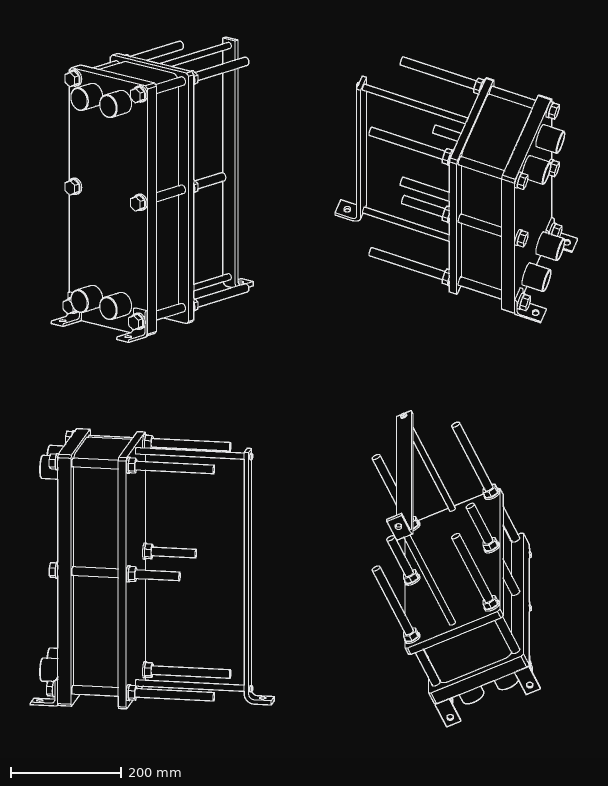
import cadquery as cq
import math


end_plate_width = 190.0
end_plate_height = 473.0
end_plate_chamfer = 5.0
frame_thickness = 25.0
pack_depth = 87.0
pressure_thickness = 14.5
pack_front = frame_thickness
pack_back = pack_front + pack_depth
pressure_back = pack_back + pressure_thickness

channel_count = 6
channel_pitch = pack_depth / channel_count
pack_width = 142.0
pack_bottom = 16.5
pack_height = 450.5
pack_corner_radius = 15.0

nameplate_width = 65.7
nameplate_height = 124.5
nameplate_bottom = 239.0
nameplate_depth = 2.5

nozzle_diameter = 42.5
nozzle_length = 40.5
nozzle_end_chamfer = 1.5
nozzle_half_spacing = 35.0
nozzle_heights = (51.0, 432.5)

foot_width = 29.0
foot_thickness = 5.0
foot_height = 49.0
foot_reach = 50.5
foot_bend_radius = 7.0
foot_edge_radius = 3.0
foot_hole_setback = 15.0
floor_hole_diameter = 12.0

overall_depth = 430.0
column_width = 30.0
column_thickness = 8.5
column_front = 329.0
column_back = column_front + column_thickness
column_bend_radius = 10.5
column_foot_end = overall_depth - foot_reach
column_hole_setback = 18.5

guide_bar_diameter = 12.0
guide_bar_heights = (25.0, 461.5)
guide_bar_end = column_back + 4.3
guide_bar_chamfer = 2.0

bolt_diameter = 16.0
washer_diameter = 30.0
front_washer_thickness = 4.5
rear_washer_thickness = 3.5
hex_across_flats = 24.0
hex_across_corners = hex_across_flats / math.cos(math.pi / 6)
hex_thickness = 11.5
long_bolt_end = 285.5
short_bolt_end = 222.5
bolt_half_spacing = 79.5
bolt_rows = (
    (28.5, -foot_thickness, long_bolt_end),
    (251.5, 0, short_bolt_end),
    (456.0, 0, long_bolt_end),
)
sides = (-1, 1)


def block(width, depth, height, y_front, z_bottom):
    """Box centred on X = 0."""
    box = cq.Workplane("XY").box(width, depth, height, centered=(True, False, False))
    return box.translate((0, y_front, z_bottom))


def round_bar(diameter, x, z, y_front, y_back):
    """Cylinder along Y."""
    start = cq.Workplane("XZ", origin=(x, y_front, z))
    return start.circle(diameter / 2).extrude(y_front - y_back)


def hexagon(x, z, y_front, y_back):
    """Hexagonal prism along Y with corners at its top and bottom."""
    start = cq.Workplane("XZ", origin=(x, y_front, z)).transformed(rotate=(0, 0, 90))
    return start.polygon(6, hex_across_corners).extrude(y_front - y_back)


def edge_at(body, x, y, z):
    """Edge of the body whose middle is nearest to the point."""
    return body.edges(cq.selectors.NearestToPointSelector((x, y, z)))


def bent_bar(x, width, thickness, height, y_leg, y_bend, y_toe):
    """Upright leg with a toe on the floor; y_leg is the leg's face that looks away from the toe."""
    outline = [
        (y_leg, 0),
        (y_leg, height),
        (y_bend, height),
        (y_bend, thickness),
        (y_toe, thickness),
        (y_toe, 0),
    ]
    start = cq.Workplane("YZ", origin=(x - width / 2, 0, 0))
    return start.polyline(outline).close().extrude(width)


def floor_hole(x, y, thickness):
    """Cutter for an upright hole through a toe."""
    return cq.Workplane("XY", origin=(x, y, 0)).circle(floor_hole_diameter / 2).extrude(thickness)


def make_end_plate(y_front, thickness):
    plate = block(end_plate_width, thickness, end_plate_height, y_front, 0)
    return plate.edges("|Y").chamfer(end_plate_chamfer)


def make_nozzle(x, z):
    nozzle = round_bar(nozzle_diameter, x, z, -nozzle_length, 0)
    return nozzle.faces("<Y").chamfer(nozzle_end_chamfer)


def make_foot(x):
    foot = bent_bar(x, foot_width, foot_thickness, foot_height, 0, -foot_thickness, -foot_reach)
    foot = edge_at(foot, x, -foot_thickness, foot_thickness).fillet(foot_bend_radius)
    foot = edge_at(foot, x, 0, 0).fillet(foot_edge_radius)
    foot = edge_at(foot, x, -foot_thickness, foot_height).fillet(foot_edge_radius)
    foot = edge_at(foot, x, -foot_reach, foot_thickness).fillet(foot_edge_radius)
    return foot.cut(floor_hole(x, foot_hole_setback - foot_reach, foot_thickness))


def make_bolt_rod(side, z, seat, end):
    return round_bar(bolt_diameter, side * bolt_half_spacing, z, seat, end)


def drill_for_bolts(body):
    """Cut the holes that the bolt rods fill, keeping the seams of the body."""
    for side in sides:
        for row in bolt_rows:
            body = body.cut(make_bolt_rod(side, *row), clean=False)
    return body


def make_frame():
    """Frame plate with its nozzles, feet and nameplate field."""
    frame = make_end_plate(0, frame_thickness)
    for side in sides:
        for z in nozzle_heights:
            frame = frame.union(make_nozzle(side * nozzle_half_spacing, z))
        frame = frame.union(make_foot(side * bolt_half_spacing))
    nameplate = block(nameplate_width, nameplate_depth, nameplate_height, 0, nameplate_bottom)
    frame = frame.cut(nameplate).union(nameplate, clean=False)
    return drill_for_bolts(frame)


def make_pack():
    """Channel plates joined into one pack, with the seams between them left on its sides."""
    channel = block(pack_width, channel_pitch, pack_height, pack_front, pack_bottom)
    channel = channel.edges("|Y").fillet(pack_corner_radius)
    pack = channel
    for index in range(1, channel_count):
        pack = pack.union(channel.translate((0, index * channel_pitch, 0)), clean=False)
    return pack


def make_column():
    column = bent_bar(
        0, column_width, column_thickness, end_plate_height, column_front, column_back, column_foot_end
    )
    column = edge_at(column, 0, column_back, column_thickness).fillet(column_bend_radius)
    column = edge_at(column, 0, column_front, 0).fillet(column_bend_radius + column_thickness)
    return column.cut(floor_hole(0, column_foot_end - column_hole_setback, column_thickness))


def make_pressure_plate():
    """Pressure plate carrying the guide bars and the rear support column."""
    plate = make_end_plate(pack_back, pressure_thickness).union(make_column())
    for z in guide_bar_heights:
        bar = round_bar(guide_bar_diameter, 0, z, pressure_back, guide_bar_end)
        plate = plate.union(bar.faces(">Y").chamfer(guide_bar_chamfer))
    return drill_for_bolts(plate)


def make_bolt(side, z, seat, end):
    x = side * bolt_half_spacing
    head_back = seat - front_washer_thickness
    nut_front = pressure_back + rear_washer_thickness
    bolt = make_bolt_rod(side, z, seat, end)
    bolt = bolt.union(round_bar(washer_diameter, x, z, head_back, seat))
    bolt = bolt.union(hexagon(x, z, head_back - hex_thickness, head_back))
    bolt = bolt.union(round_bar(washer_diameter, x, z, pressure_back, nut_front))
    return bolt.union(hexagon(x, z, nut_front, nut_front + hex_thickness))


frame_plate = make_frame()
plate_pack = make_pack()
pressure_plate = make_pressure_plate()
bolts = [make_bolt(side, *row).val() for side in sides for row in bolt_rows]

result = cq.Compound.makeCompound([frame_plate.val(), plate_pack.val(), pressure_plate.val(), *bolts])